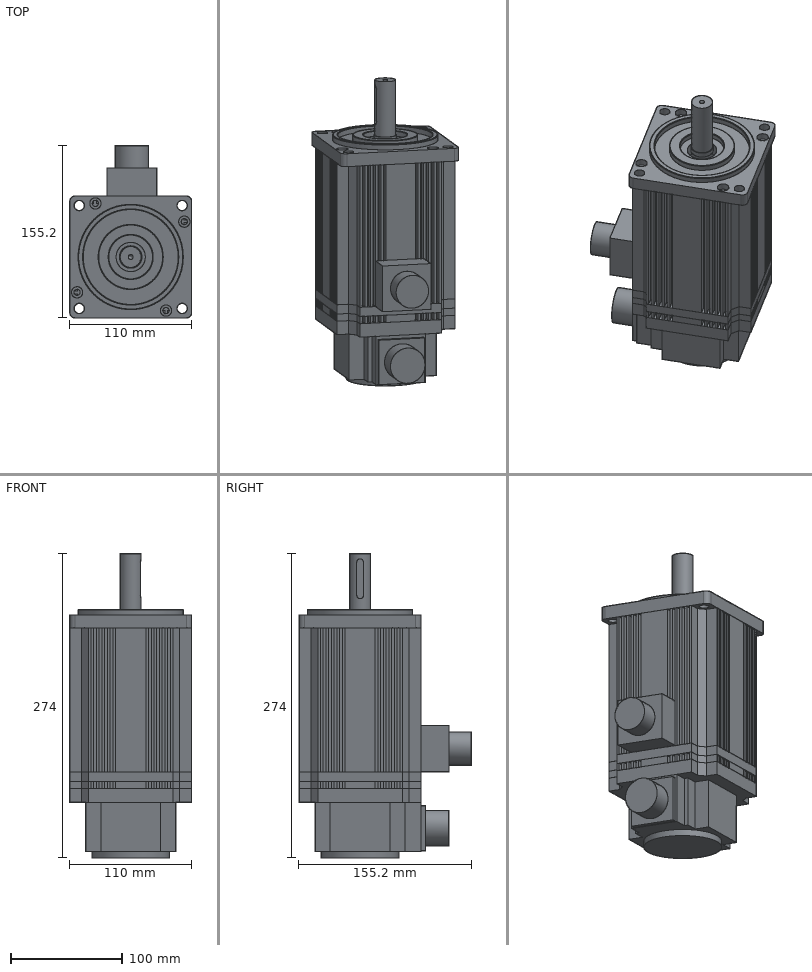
import cadquery as cq

total_height = 274.0
side = 110.0
half_side = side / 2

cap_height = 5.8
encoder_top = 50.1
rear_plate_top = 62.5
finned_ring_top = 69.0
spacer_top = 77.5
housing_top = 207.1
flange_top = 219.0

notch_edge = 38.0
notch_floor = 44.0
grooves_per_group = 5
groove_width = 2.5
groove_pitch = 2 * groove_width
groove_depth = 6.8
outer_groove_offset = 34.5

corner_radius = 5.0
mount_hole_diameter = 9.0
mount_hole_offset = 46.3
screw_hole_diameter = 5.5
screw_head_diameter = 10.1
screw_head_depth = 6.0
screw_far_offset = 48.2
screw_near_offset = 31.8
pilot_radius = 47.5
pilot_height = 5.0
pilot_top = flange_top + pilot_height
ring_recess_radius = 42.7
ring_recess_depth = 5.2
hub_radius = 29.3
seal_recess_radius = 19.7
seal_floor = flange_top
rim_chamfer = 0.5
bore_radius = 13.2

shaft_diameter = 19.0
shaft_radius = shaft_diameter / 2
shoulder_radius = 10.1
shoulder_height = 4.5
center_hole_radius = 2.2
center_hole_depth = 3.8
keyway_width = 6.0
keyway_depth = 3.5
keyway_length = 36.0
keyway_end_gap = 4.7

cover_reach = 40.5
cover_arm_half_width = 26.9
cover_boss_width = 46.0
cap_radius = 35.0

power_x = 1.0
power_base_width = 45.0
power_base_height = 42.0
power_base_length = 25.2
power_plug_radius = 15.0
power_plug_length = 20.0
power_z = spacer_top + power_base_height / 2
encoder_plug_z = 26.9
encoder_base_width = 42.2
encoder_base_height = 40.8
encoder_base_length = 4.0
encoder_plug_radius = 16.2
encoder_plug_length = 20.8


def cylinder(radius, bottom, top):
    """Round bar on the motor axis."""
    return cq.Workplane("XY").workplane(offset=bottom).circle(radius).extrude(top - bottom)


def block(x_size, y_size, bottom, top):
    """Rectangular block centred on the motor axis."""
    return cq.Workplane("XY").workplane(offset=bottom).rect(x_size, y_size).extrude(top - bottom)


def cut_on_four_sides(body, tool):
    """Cut the tool at its own place and at three further quarter turns."""
    for quarter_turn in range(4):
        body = body.cut(tool.rotate((0, 0, 0), (0, 0, 1), 90 * quarter_turn))
    return body


def make_notched_plate(bottom, top):
    """Square plate with a notch with a sloped floor in each corner."""
    corner = [
        (half_side, notch_edge),
        (notch_floor, notch_edge),
        (notch_edge, notch_floor),
        (notch_edge, half_side),
    ]
    outline = []
    for quarter_turn in range(4):
        outline += corner
        corner = [(-y, x) for x, y in corner]
    return cq.Workplane("XY").workplane(offset=bottom).polyline(outline).close().extrude(top - bottom)


def make_finned_plate(bottom, top):
    """Notched plate with two groups of cooling grooves along each side."""
    places = []
    for i in range(grooves_per_group):
        offset = outer_groove_offset - i * groove_pitch
        places += [(offset, half_side), (-offset, half_side)]
    grooves = (
        cq.Workplane("XY").workplane(offset=bottom).pushPoints(places)
        .rect(groove_width, 2 * groove_depth).extrude(top - bottom)
    )
    return cut_on_four_sides(make_notched_plate(bottom, top), grooves)


def make_housing():
    return make_finned_plate(spacer_top, housing_top).cut(cylinder(bore_radius, spacer_top, housing_top))


def make_flange():
    flange = block(side, side, housing_top, flange_top).edges("|Z").fillet(corner_radius)

    ring_floor = pilot_top - ring_recess_depth
    flange = flange.union(cylinder(pilot_radius, flange_top, pilot_top))
    flange = flange.cut(cylinder(ring_recess_radius, ring_floor, pilot_top))
    flange = flange.union(cylinder(hub_radius, ring_floor, pilot_top))
    flange = flange.cut(cylinder(seal_recess_radius, seal_floor, pilot_top))
    flange = flange.faces(">Z").edges().chamfer(rim_chamfer)
    flange = flange.cut(cylinder(bore_radius, housing_top, seal_floor))

    mount_hole = cylinder(mount_hole_diameter / 2, housing_top, flange_top)
    mount_hole = mount_hole.translate((mount_hole_offset, mount_hole_offset, 0))
    flange = cut_on_four_sides(flange, mount_hole)

    screw_hole = cylinder(screw_hole_diameter / 2, housing_top, flange_top)
    counterbore = cylinder(screw_head_diameter / 2, flange_top - screw_head_depth, flange_top)
    screw_hole = screw_hole.union(counterbore).translate((screw_far_offset, screw_near_offset, 0))
    return cut_on_four_sides(flange, screw_hole)


def make_shaft():
    shoulder_top = seal_floor + shoulder_height
    shaft = cylinder(shoulder_radius, seal_floor, shoulder_top)
    shaft = shaft.union(cylinder(shaft_radius, shoulder_top, total_height))

    cone_tip = cq.Vector(0, 0, total_height - center_hole_depth)
    center_hole = cq.Solid.makeCone(0, center_hole_radius, center_hole_depth, cone_tip)
    shaft = shaft.cut(cq.Workplane(center_hole))

    keyway_middle = total_height - keyway_end_gap - keyway_length / 2
    keyway = (
        cq.Workplane("YZ", origin=(shaft_radius - keyway_depth, 0, keyway_middle))
        .slot2D(keyway_length, keyway_width, 90).extrude(2 * keyway_depth)
    )
    return shaft.cut(keyway)


def make_encoder_cover():
    arm_length = 2 * cover_reach
    arm_width = 2 * cover_arm_half_width
    cover = block(arm_length, arm_width, cap_height, encoder_top)
    cover = cover.union(block(arm_width, arm_length, cap_height, encoder_top))
    boss = block(cover_boss_width, half_side, cap_height, encoder_top)
    cover = cover.union(boss.translate((0, half_side / 2, 0)))
    return cover.union(cylinder(cap_radius, 0, cap_height))


def make_connector(x, z, base_width, base_height, base_length, plug_radius, plug_length):
    """Rectangular base on the +Y side with a round plug standing on it."""
    base_end = half_side + base_length
    base = cq.Workplane("XZ", origin=(x, half_side, z)).rect(base_width, base_height).extrude(-base_length)
    plug = cq.Workplane("XZ", origin=(x, base_end, z)).circle(plug_radius).extrude(-plug_length)
    return base.union(plug)


flange = make_flange()
shaft = make_shaft()
housing = make_housing()
spacer_plate = make_notched_plate(finned_ring_top, spacer_top)
finned_ring = make_finned_plate(rear_plate_top, finned_ring_top)
rear_plate = make_notched_plate(encoder_top, rear_plate_top)
encoder_cover = make_encoder_cover()
power_connector = make_connector(
    power_x, power_z, power_base_width, power_base_height, power_base_length,
    power_plug_radius, power_plug_length,
)
encoder_connector = make_connector(
    0, encoder_plug_z, encoder_base_width, encoder_base_height, encoder_base_length,
    encoder_plug_radius, encoder_plug_length,
)

result = cq.Compound.makeCompound([
    flange.val(),
    shaft.val(),
    housing.val(),
    spacer_plate.val(),
    finned_ring.val(),
    rear_plate.val(),
    encoder_cover.val(),
    power_connector.val(),
    encoder_connector.val(),
])